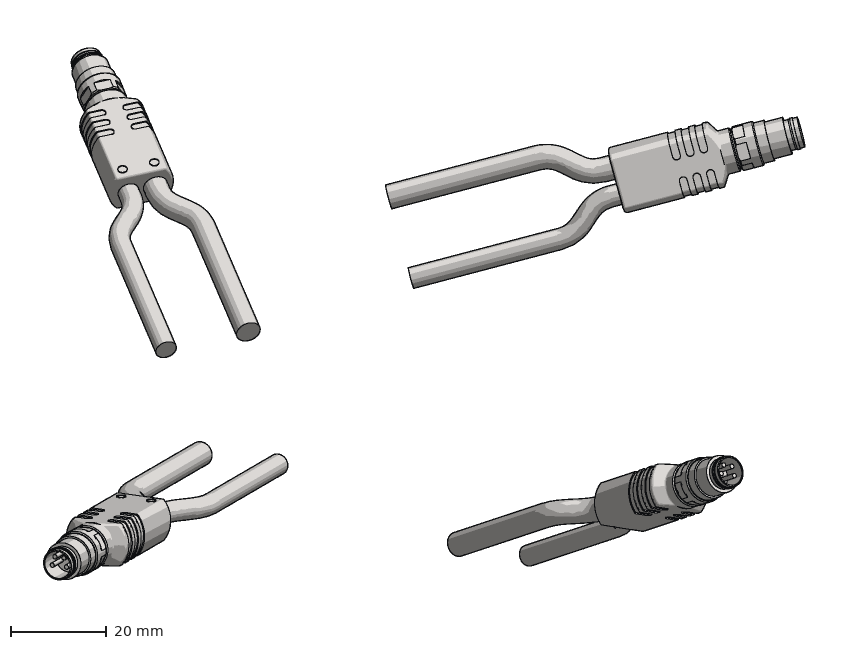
import cadquery as cq

total_length = 87.0

sleeve_steps = [
    (1.0, 6.5),
    (1.6, 6.9),
    (1.9, 6.6),
    (3.0, 6.5),
    (6.9, 8.0),
    (9.1, 8.8),
]

nut_end = 13.8
nut_diameter = 9.6
nut_flat_start = 11.4
nut_across_flats = 8.9
nut_flat_count = 6
nut_edge_chamfer = 0.3

neck_diameter = 8.0
collar_start = 14.2
collar_end = 17.05
collar_diameter = 9.4
collar_edge_chamfer = 0.3

socket_diameter = 5.9
socket_depth = 5.2
pin_diameter = 1.0
pin_recess = 0.9
pin_places = [(1.05, 1.4), (-1.05, 1.4), (1.65, -0.5), (-1.65, -0.5)]

housing_end = 40.0
housing_diameter = 14.2
housing_height = 9.1
housing_fillet = 0.6
cone_start = 16.7
cone_start_diameter = 8.7
cone_end = 18.45
cone_root_fillet = 0.4

groove_first = 20.4
groove_pitch = 3.0
groove_count = 3
groove_width = 1.65
groove_depth = 0.3
groove_floor_fillet = 0.7
groove_inner_reach = 1.9

marker_diameter = 2.0
marker_depth = 0.2
marker_x = 37.6
marker_y = 3.5

overall_width = 22.9
cable_exit_y = 3.0
bend_start = 42.0
bend_end = 54.8
cable_diameters = {1: 5.2, -1: 4.5}
cable_run_y = (overall_width - sum(cable_diameters.values()) / 2) / 2


def rod(start, end, diameter, y=0.0, z=0.0):
    """Cylinder along X between two stations."""
    return (
        cq.Workplane("YZ", origin=(start, y, z))
        .circle(diameter / 2)
        .extrude(end - start)
    )


def make_sleeve():
    sleeve = rod(0, sleeve_steps[0][0], sleeve_steps[0][1])
    for (start, _), (end, diameter) in zip(sleeve_steps, sleeve_steps[1:]):
        sleeve = sleeve.union(rod(start, end, diameter))
    return sleeve


def make_nut():
    nut = rod(sleeve_steps[-1][0], nut_end, nut_diameter)
    nut = nut.edges("%CIRCLE").chamfer(nut_edge_chamfer)
    flat_length = nut_end - nut_flat_start
    for index in range(nut_flat_count):
        flat_cutter = (
            cq.Workplane("XY", origin=(nut_flat_start, 0, nut_across_flats / 2))
            .rect(2 * flat_length, nut_diameter)
            .extrude(nut_diameter)
            .translate((flat_length, 0, 0))
            .rotate((0, 0, 0), (1, 0, 0), index * 360 / nut_flat_count)
        )
        nut = nut.cut(flat_cutter)
    return nut


def make_collar():
    neck = rod(nut_end, collar_start, neck_diameter)
    collar = rod(collar_start, collar_end, collar_diameter)
    return neck.union(collar.faces("<X").edges().chamfer(collar_edge_chamfer))


def slabbed_cylinder(start, end, inset):
    """Housing cross-section, shrunk all round by the inset."""
    height = housing_height - 2 * inset
    slab = cq.Workplane("XY").box(2 * total_length, housing_diameter, height)
    return rod(start, end, housing_diameter - 2 * inset).intersect(slab)


def make_housing():
    envelope = (
        cq.Workplane("XY")
        .moveTo(cone_start, 0)
        .lineTo(cone_start, cone_start_diameter / 2)
        .lineTo(cone_end, housing_diameter / 2)
        .lineTo(housing_end, housing_diameter / 2)
        .lineTo(housing_end, 0)
        .close()
        .revolve(360, (0, 0, 0), (1, 0, 0))
    )
    housing = slabbed_cylinder(cone_start, housing_end, 0).intersect(envelope)
    return housing.edges("not <X").fillet(housing_fillet)


def round_cone_root(body):
    """Round the two side arcs where the collar runs into the housing cone."""
    side_arc_reach = collar_diameter / 3
    side_arcs = cq.selectors.BoxSelector(
        (cone_start, -collar_diameter, -side_arc_reach),
        (collar_end, collar_diameter, side_arc_reach),
    )
    return body.edges(side_arcs).fillet(cone_root_fillet)


def make_grooves():
    """U-shaped bands wrapping round both sides of the housing."""
    core = slabbed_cylinder(cone_start, housing_end, groove_depth)
    core = core.edges("|X").fillet(groove_floor_fillet)
    outer_reach = housing_diameter
    band_length = outer_reach - groove_inner_reach
    band_centre = (outer_reach + groove_inner_reach) / 2
    grooves = cq.Workplane("XY")
    for index in range(groove_count):
        x = groove_first + index * groove_pitch
        for side in (1, -1):
            band = (
                cq.Workplane("XY", origin=(x, side * band_centre, 0))
                .slot2D(band_length, groove_width, 90)
                .extrude(housing_height, both=True)
            )
            grooves = grooves.add(band.cut(core))
    return grooves


def make_cable(side):
    """Cable on the +Y (side 1) or -Y (side -1) half."""
    cable_start = housing_end - housing_fillet
    along_x = (1, 0)
    path = (
        cq.Workplane("XY")
        .moveTo(cable_start, side * cable_exit_y)
        .lineTo(bend_start, side * cable_exit_y)
        .spline([(bend_end, side * cable_run_y)], tangents=[along_x, along_x], includeCurrent=True)
        .lineTo(total_length, side * cable_run_y)
    )
    return (
        cq.Workplane("YZ", origin=(cable_start, side * cable_exit_y, 0))
        .circle(cable_diameters[side] / 2)
        .sweep(path)
    )


def make_pins():
    pins = cq.Workplane("XY")
    for y, z in pin_places:
        pins = pins.add(rod(pin_recess, socket_depth, pin_diameter, y, z))
    return pins


def make_markers():
    return (
        cq.Workplane("XY", origin=(0, 0, housing_height / 2 - marker_depth))
        .pushPoints([(marker_x, marker_y), (marker_x, -marker_y)])
        .circle(marker_diameter / 2)
        .extrude(2 * marker_depth)
    )


result = make_sleeve().union(make_nut()).union(make_collar())
result = result.cut(rod(0, socket_depth, socket_diameter))
for pin in make_pins().vals():
    result = result.union(cq.Workplane(pin))

housing = make_housing().cut(make_markers())
for groove in make_grooves().vals():
    housing = housing.cut(cq.Workplane(groove))

result = result.union(housing)
result = round_cone_root(result)
for side in cable_diameters:
    result = result.union(make_cable(side))